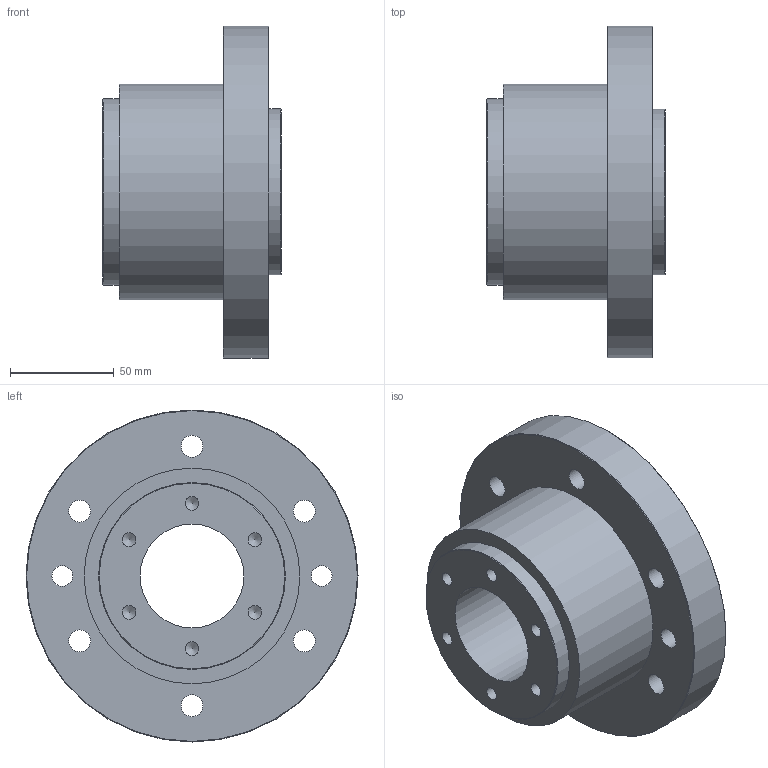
import cadquery as cq
import math

spigot_length = 8.0
hub_length = 50.0
flange_thickness = 22.0
register_length = 6.0

spigot_diameter = 90.0
hub_diameter = 104.0
flange_diameter = 160.0
register_diameter = 80.0
bore_diameter = 50.0

edge_chamfer = 0.3

flange_circle_diameter = 125.0
bolt_hole_diameter = 10.5
bolt_count = 6
dowel_hole_diameter = 10.0
dowel_count = 2

face_circle_diameter = 70.0
face_hole_diameter = 6.6
face_hole_depth = 20.0
face_hole_count = 6
drill_point_angle = 118.0

hub_start = spigot_length
flange_start = hub_start + hub_length
register_start = flange_start + flange_thickness


def cylinder(diameter, start, length):
    """Solid cylinder on the X axis, beginning at x = start."""
    return cq.Workplane("YZ", origin=(start, 0, 0)).circle(diameter / 2).extrude(length)


def circle_points(circle_diameter, count, first_angle):
    """Evenly spaced (y, z) points on a circle about the X axis."""
    radius = circle_diameter / 2
    angles = [math.radians(first_angle + i * 360 / count) for i in range(count)]
    return [(radius * math.cos(a), radius * math.sin(a)) for a in angles]


def turned_body():
    """Stepped round body with chamfered edges and a through bore."""
    spigot = cylinder(spigot_diameter, 0, spigot_length)
    spigot = spigot.faces("<X").edges().chamfer(edge_chamfer)
    hub = cylinder(hub_diameter, hub_start, hub_length)
    flange = cylinder(flange_diameter, flange_start, flange_thickness)
    flange = flange.edges().chamfer(edge_chamfer)
    register = cylinder(register_diameter, register_start, register_length)
    register = register.faces(">X").edges().chamfer(edge_chamfer)
    total_length = register_start + register_length
    bore = cylinder(bore_diameter, 0, total_length)
    return spigot.union(hub).union(flange).union(register).cut(bore)


def flange_holes(diameter, count, first_angle):
    """Through-hole cutters for the flange."""
    points = circle_points(flange_circle_diameter, count, first_angle)
    plane = cq.Workplane("YZ", origin=(flange_start, 0, 0))
    return plane.pushPoints(points).circle(diameter / 2).extrude(flange_thickness)


def drilled_hole(y, z):
    """Blind hole cutter with a conical drill point, entering at x = 0."""
    radius = face_hole_diameter / 2
    point_length = radius / math.tan(math.radians(drill_point_angle / 2))
    profile = (
        cq.Workplane("XY")
        .moveTo(0, 0)
        .lineTo(0, radius)
        .lineTo(face_hole_depth, radius)
        .lineTo(face_hole_depth + point_length, 0)
        .close()
    )
    return profile.revolve(360, (0, 0, 0), (1, 0, 0)).translate((0, y, z))


result = turned_body()
result = result.cut(flange_holes(bolt_hole_diameter, bolt_count, 90))
result = result.cut(flange_holes(dowel_hole_diameter, dowel_count, 0))
for hole_y, hole_z in circle_points(face_circle_diameter, face_hole_count, 90):
    result = result.cut(drilled_hole(hole_y, hole_z))